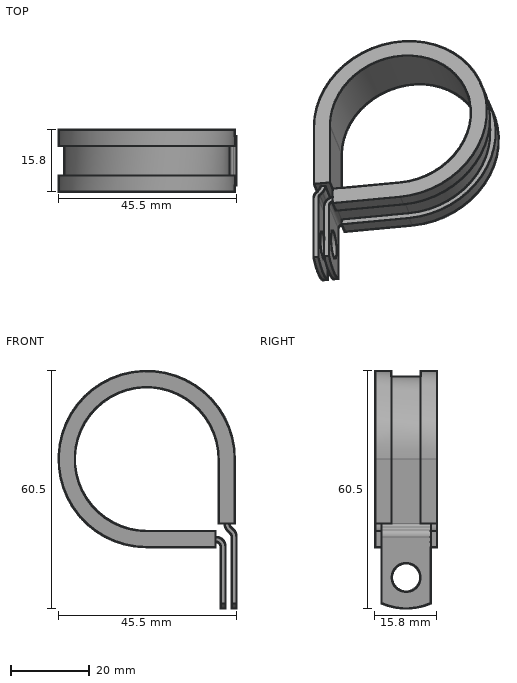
import cadquery as cq
import math

inner_radius = 18.3
cushion_thickness = 4.2
cushion_width = 15.8
outer_radius = inner_radius + cushion_thickness
upright_arm_end = -16.4
flat_arm_end = 17.55

groove_width = 7.45
groove_depth = 1.4

strap_thickness = 1.3
strap_outer = outer_radius - groove_depth
strap_inner = strap_outer - strap_thickness

tab_width = 12.6
tab_bottom = outer_radius - 60.55
tab_gap = 1.5
tip_rise = 1.35
bend_inner_radius = 1.3
bend_outer_radius = bend_inner_radius + strap_thickness

jog_shift = flat_arm_end + bend_outer_radius + tab_gap - strap_inner
jog_angle = math.radians(45)

hole_diameter = 7.2
hole_height = 7.95


def centred_extrude(sketch, width):
    """Extrude an XZ outline symmetrically about the Y = 0 plane."""
    return sketch.extrude(width / 2, both=True)


def loop_band(inner, outer, width):
    """Three-quarter ring with a straight tangent arm at each end."""
    diagonal = math.sqrt(0.5)
    outline = (
        cq.Workplane("XZ")
        .moveTo(flat_arm_end, -outer)
        .lineTo(0, -outer)
        .threePointArc((-outer * diagonal, outer * diagonal), (outer, 0))
        .lineTo(outer, upright_arm_end)
        .lineTo(inner, upright_arm_end)
        .lineTo(inner, 0)
        .threePointArc((-inner * diagonal, inner * diagonal), (0, -inner))
        .lineTo(flat_arm_end, -inner)
        .close()
    )
    return centred_extrude(outline, width)


def bent_tab():
    """Strap end leaving the horizontal arm and turning down."""
    outer_face = flat_arm_end + bend_outer_radius
    inner_face = flat_arm_end + bend_inner_radius
    bend_end = -strap_inner - bend_outer_radius
    outline = (
        cq.Workplane("XZ")
        .moveTo(flat_arm_end, -strap_inner)
        .radiusArc((outer_face, bend_end), bend_outer_radius)
        .lineTo(outer_face, tab_bottom)
        .lineTo(inner_face, tab_bottom)
        .lineTo(inner_face, bend_end)
        .radiusArc((flat_arm_end, -strap_outer), -bend_inner_radius)
        .close()
    )
    return centred_extrude(outline, tab_width)


def jogged_tab():
    """Strap end leaving the vertical arm and stepping sideways in an S-bend."""
    sine = math.sin(jog_angle)
    bend_step = 1 - math.cos(jog_angle)
    tight_step = bend_inner_radius * bend_step
    wide_step = bend_outer_radius * bend_step
    slope_step = jog_shift - tight_step - wide_step
    tight_drop = bend_inner_radius * sine
    wide_drop = bend_outer_radius * sine
    slope_drop = slope_step / math.tan(jog_angle)
    jog_end = upright_arm_end - tight_drop - slope_drop - wide_drop

    tab_outer = strap_outer + jog_shift
    tab_inner = strap_inner + jog_shift
    outline = (
        cq.Workplane("XZ")
        .moveTo(strap_outer, upright_arm_end)
        .radiusArc((strap_outer + tight_step, upright_arm_end - tight_drop), -bend_inner_radius)
        .lineTo(tab_outer - wide_step, jog_end + wide_drop)
        .radiusArc((tab_outer, jog_end), bend_outer_radius)
        .lineTo(tab_outer, tab_bottom)
        .lineTo(tab_inner, tab_bottom)
        .lineTo(tab_inner, jog_end)
        .radiusArc((tab_inner - tight_step, jog_end + tight_drop), -bend_inner_radius)
        .lineTo(strap_inner + wide_step, upright_arm_end - wide_drop)
        .radiusArc((strap_inner, upright_arm_end), bend_outer_radius)
        .close()
    )
    return centred_extrude(outline, tab_width)


def tab_silhouette():
    """Tall block with a rounded lower end that trims both tab tips."""
    half_width = tab_width / 2
    shoulder = tab_bottom + tip_rise
    return (
        cq.Workplane("YZ")
        .moveTo(-half_width, upright_arm_end)
        .lineTo(-half_width, shoulder)
        .threePointArc((0, tab_bottom), (half_width, shoulder))
        .lineTo(half_width, upright_arm_end)
        .close()
        .extrude(2 * outer_radius)
    )


lip_cutter = loop_band(strap_outer, outer_radius, groove_width)
loop = loop_band(inner_radius, outer_radius, cushion_width).cut(lip_cutter)

tabs = bent_tab().union(jogged_tab()).intersect(tab_silhouette())
bolt_hole = (
    cq.Workplane("YZ")
    .center(0, tab_bottom + hole_height)
    .circle(hole_diameter / 2)
    .extrude(2 * outer_radius)
)

result = loop.union(tabs.cut(bolt_hole))